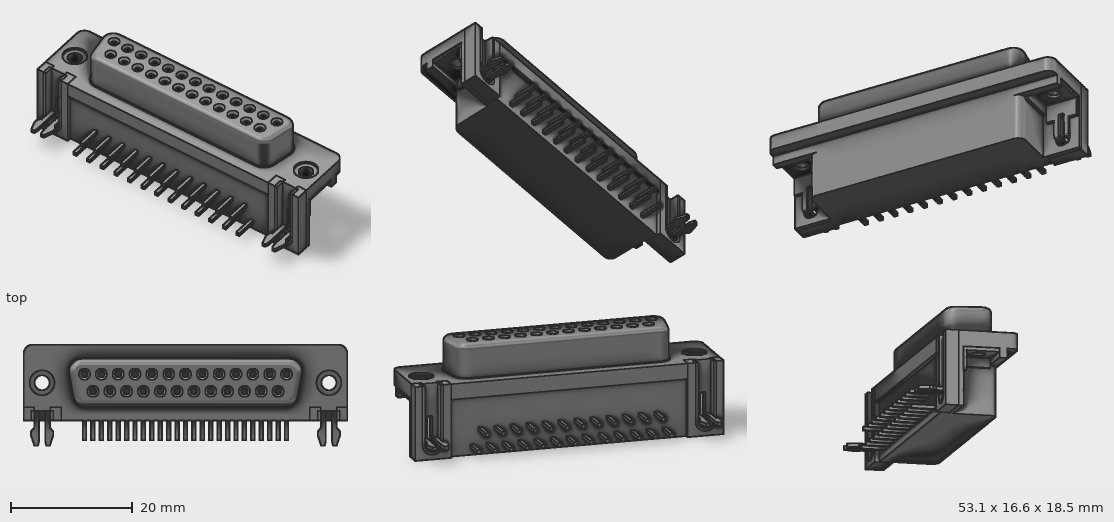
import cadquery as cq
import math


length = 53.1
flange_depth = 12.5
flange_thickness = 2.65
flange_corner_radius = 1.5
flange_top = 12.6
flange_bottom = flange_top - flange_thickness

block_front = 0.75
block_back = 10.45
block_corner_radius = 1.35
shoulder_width = 0.55
shoulder_bottom = 7.85
rib_depth = 1.35
rib_bottom = 8.35
rib_front = block_back - rib_depth

nose_top = 18.5
nose_fillet = 1.0
nose_width = 38.1
nose_depth = 7.8
nose_corner_radius = 2.0
nose_side_angle = 10.0
nose_rim_offset = 0.2
nose_rim_height = 0.1

contact_pitch = 2.75
row_spacing = 2.8
long_row_count = 13
short_row_count = 12
connector_axis_y = 6.2
socket_mouth_diameter = 1.85
socket_bore_diameter = 1.05
socket_mouth_depth = 0.4
socket_depth = 2.1
pin_width = 0.65
pin_height = 0.6
pin_length = 3.25
lower_pin_z = 1.55

mount_x = 23.5
mount_hole_diameter = 2.45
mount_recess_diameter = 4.1
mount_recess_depth = 0.4

post_width = 6.15
post_depth = 2.25
wall_back = 3.05
liner_depth = 1.6
liner_thickness = 0.5
channel_half_width = 1.35
channel_arc_z = 2.6

clip_thickness = 0.6
clip_width = 5.65
bend_radius = 0.55
clip_shoulder_z = 6.1
slot_width = 1.0
slot_top = 7.0
slot_corner_radius = 0.3
tail_top = 3.3
tail_length = 4.15
tail_shank_length = 1.15
barb_start = 1.8
barb_end = 2.4
inner_taper_start = 3.45
tip_inner = 0.7
tip_outer = 1.3
barb_half_width = 1.85

block_half_width = length / 2 - post_width
sides = (-1, 1)


def box(x0, x1, y0, y1, z0, z1):
    """Box between pairs of opposite faces."""
    return cq.Workplane("XY").box(x1 - x0, y1 - y0, z1 - z0, centered=False).translate((x0, y0, z0))


def wide_box(half_width, y0, y1, z0, z1, x=0):
    """Box with equal reach to both sides of x."""
    return box(x - half_width, x + half_width, y0, y1, z0, z1)


def channel(side, half_width, y0, y1):
    """Round-bottomed slug open to the flange top."""
    x = side * mount_x
    return (
        cq.Workplane("XZ", origin=(x, y0, 0))
        .moveTo(-half_width, flange_top)
        .lineTo(-half_width, channel_arc_z)
        .threePointArc((0, channel_arc_z - half_width), (half_width, channel_arc_z))
        .lineTo(half_width, flange_top)
        .close()
        .extrude(-(y1 - y0))
    )


def slot(side, y0, y1):
    """Slot with rounded top corners that rises from the tails."""
    slug = wide_box(slot_width / 2, y0, y1, channel_arc_z, slot_top, side * mount_x)
    return slug.edges("|Y and >Z").fillet(slot_corner_radius)


def wall_opening(side):
    """Slot and wider round-bottomed window through which the clip tails pass."""
    x = side * mount_x
    below_tails = wide_box(channel_half_width, 0, wall_back, 0, tail_top, x)
    window = channel(side, channel_half_width, 0, wall_back).intersect(below_tails)
    return window.union(slot(side, 0, wall_back))


def end_box(side, y0, y1, top):
    """Box as wide as an end post, flush with the end of the connector."""
    x = side * (length - post_width) / 2
    return wide_box(post_width / 2, y0, y1, 0, top, x)


def post_block(side):
    """Solid envelope of one end post."""
    return end_box(side, 0, post_depth, flange_top)


def flange():
    plate = wide_box(length / 2, 0, flange_depth, flange_bottom, flange_top)
    return plate.edges("|Z and >Y").fillet(flange_corner_radius)


def central_block():
    """Block with rounded back corners, wider at the front and along the shoulders under the flange."""
    core = wide_box(block_half_width - shoulder_width, block_front, block_back, 0, flange_bottom)
    core = core.edges("|Z and >Y").fillet(block_corner_radius)
    front = wide_box(block_half_width, block_front, wall_back, 0, flange_bottom)
    shoulders = wide_box(block_half_width, wall_back, rib_front, shoulder_bottom, flange_bottom)
    return core.union(front).union(shoulders)


def back_rib():
    return wide_box(length / 2, rib_front, block_back, rib_bottom, flange_bottom)


def d_prism(height, offset):
    """Prism with a rounded D outline on the flange, grown outwards by offset."""
    angle = math.radians(nose_side_angle)
    radius = nose_corner_radius + offset
    trim = radius * (math.tan(math.pi / 4 + angle / 2) - 1)
    y_back = nose_depth / 2 + offset
    back_half = nose_width / 2 + offset + trim
    front_half = back_half - 2 * y_back * math.tan(angle)
    corners = [(-back_half, y_back), (back_half, y_back), (front_half, -y_back), (-front_half, -y_back)]
    prism = cq.Workplane("XY", origin=(0, connector_axis_y, flange_top)).polyline(corners).close().extrude(height)
    return prism.edges("|Z").fillet(radius)


def nose():
    body = d_prism(nose_top - flange_top, 0).faces(">Z").edges().fillet(nose_fillet)
    return body.union(d_prism(nose_rim_height, nose_rim_offset))


def row_positions(count):
    return [(i - (count - 1) / 2) * contact_pitch for i in range(count)]


def sockets():
    """Countersunk blind holes in the nose."""
    back_y = connector_axis_y + row_spacing / 2
    points = [(x, back_y) for x in row_positions(long_row_count)]
    points += [(x, back_y - row_spacing) for x in row_positions(short_row_count)]
    holes = (
        cq.Workplane("XY", origin=(0, 0, nose_top))
        .pushPoints(points).circle(socket_bore_diameter / 2).extrude(-socket_depth)
    )
    cone = cq.Solid.makeCone(
        socket_bore_diameter / 2, socket_mouth_diameter / 2, socket_mouth_depth,
        pnt=cq.Vector(0, 0, nose_top - socket_mouth_depth),
    )
    mouths = cq.Workplane("XY").pushPoints(points).eachpoint(lambda at: cone.moved(at))
    return holes.union(mouths)


def pins():
    """Two staggered rows of solder pins."""
    rows = ((lower_pin_z, long_row_count), (lower_pin_z + row_spacing, short_row_count))
    bars = cq.Workplane("XY")
    for z, count in rows:
        points = [(x, z) for x in row_positions(count)]
        row = (
            cq.Workplane("XZ", origin=(0, block_front, 0))
            .pushPoints(points).rect(pin_width, pin_height).extrude(pin_length + block_front)
        )
        bars = bars.add(row.vals())
    return bars.combine()


def make_housing():
    body = flange().union(central_block()).union(back_rib())
    for side in sides:
        wall = end_box(side, post_depth, wall_back, flange_bottom)
        tongue = channel(side, channel_half_width, liner_depth, post_depth)
        body = body.union(wall).cut(post_block(side)).union(tongue).cut(wall_opening(side))
    body = body.union(nose()).cut(sockets()).union(pins())
    mounts = cq.Workplane("XY", origin=(0, 0, flange_top)).pushPoints(
        [(side * mount_x, connector_axis_y) for side in sides]
    )
    body = body.cut(mounts.circle(mount_hole_diameter / 2).extrude(-flange_thickness))
    return body.cut(mounts.circle(mount_recess_diameter / 2).extrude(-mount_recess_depth))


def make_post(side):
    """End post with a stepped channel for the liner and the housing tongue."""
    wide = channel(side, channel_half_width + liner_thickness, 0, liner_depth)
    narrow = channel(side, channel_half_width, 0, post_depth)
    return post_block(side).cut(wide).cut(narrow)


def make_liner(side):
    """U-shaped lining of the post channel."""
    outer = channel(side, channel_half_width + liner_thickness, 0, liner_depth)
    return outer.cut(channel(side, channel_half_width, 0, liner_depth))


def make_clip(side):
    """Bent sheet clip: plate under the flange, slotted upright and two barbed tails."""
    x = side * mount_x
    upright_back = wall_back + clip_thickness
    tail_bottom = tail_top - clip_thickness
    plate_bottom = flange_bottom - clip_thickness
    plate = wide_box(clip_width / 2, wall_back, rib_front, plate_bottom, flange_bottom, x)
    hole = cq.Workplane("XY", origin=(x, connector_axis_y, 0)).circle(mount_hole_diameter / 2)
    plate = plate.cut(hole.extrude(flange_top))
    upright = wide_box(clip_width / 2, wall_back, upright_back, clip_shoulder_z, flange_bottom, x)
    neck = wide_box(channel_half_width, wall_back, upright_back, tail_bottom, flange_bottom, x)
    neck = neck.edges("|X and >Y and <Z").fillet(bend_radius)
    clip = plate.union(upright).union(neck).cut(slot(side, wall_back, upright_back))
    return clip.union(tail(x, 1)).union(tail(x, -1))


def tail(x, hand):
    """Flat barbed tail on one side of the slot; hand is its X direction from the slot."""
    outline = [
        (slot_width / 2, wall_back),
        (channel_half_width, wall_back),
        (channel_half_width, -tail_shank_length),
        (barb_half_width, -barb_start),
        (barb_half_width, -barb_end),
        (tip_outer, -tail_length),
        (tip_inner, -tail_length),
        (slot_width / 2, -inner_taper_start),
    ]
    return (
        cq.Workplane("XY", origin=(x, 0, tail_top - clip_thickness))
        .polyline([(hand * px, py) for px, py in outline])
        .close()
        .extrude(clip_thickness)
    )


housing = make_housing()
posts = [make_post(side).val() for side in sides]
liners = [make_liner(side).val() for side in sides]
clips = [make_clip(side).val() for side in sides]
result = cq.Compound.makeCompound([housing.val(), *posts, *liners, *clips])